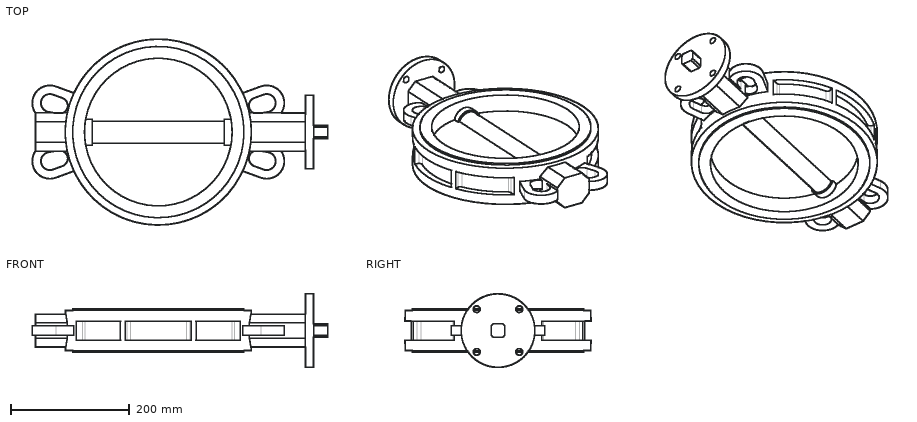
import cadquery as cq
import math


bore_radius = 125.0
ring_radius = 157.5
ring_height = 68.0
face_radius = 145.0
face_height = 74.0

pocket_height = 32.0
pocket_floor_radius = 146.0
pocket_corner_radius = 5.0
rib_width = 9.0
rib_angle = 22.5
solid_side_width = 149.0

neck_width = 65.0
neck_height = 56.0
neck_chamfer = 15.0
neck_start_x = -208.0
neck_root_x = 130.0

flange_radius = 62.5
flange_thickness = 14.0
flange_start_x = 249.0
flange_end_x = flange_start_x + flange_thickness
flange_hole_diameter = 11.0
flange_hole_circle = 102.0

lug_thickness = 16.5
lug_angle = 15.0
lug_wall = 15.0
slot_outer_radius = 15.0
slot_outer_distance = 190.0
slot_inner_radius = 13.5
slot_inner_distance = 173.0
slot_taper = math.asin(
    (slot_outer_radius - slot_inner_radius) / (slot_outer_distance - slot_inner_distance)
)

disc_thickness = 14.0
tube_radius = 20.0
hub_radius = 23.0
hub_length = 13.0
stem_width = 22.5
stem_chamfer = 3.0
stem_end_x = 287.0


def x_cylinder(radius, start_x, end_x):
    return cq.Workplane("YZ").workplane(offset=start_x).circle(radius).extrude(end_x - start_x)


def x_chamfered_bar(width, height, chamfer, start_x, end_x):
    bar = cq.Workplane("YZ").workplane(offset=start_x).rect(width, height).extrude(end_x - start_x)
    return bar.edges("|X").chamfer(chamfer)


def z_cylinder(radius, height):
    return cq.Workplane("XY").circle(radius).extrude(height / 2, both=True)


def tapered_slot(outer_radius, outer_distance, inner_radius, inner_distance, height):
    """Two round ends joined by tangent lines, lying along +X."""
    taper_sin = math.sin(slot_taper)
    taper_cos = math.cos(slot_taper)
    outer_x = outer_distance - outer_radius * taper_sin
    outer_y = outer_radius * taper_cos
    inner_x = inner_distance - inner_radius * taper_sin
    inner_y = inner_radius * taper_cos
    return (
        cq.Workplane("XY")
        .moveTo(inner_x, inner_y)
        .lineTo(outer_x, outer_y)
        .threePointArc((outer_distance + outer_radius, 0), (outer_x, -outer_y))
        .lineTo(inner_x, -inner_y)
        .threePointArc((inner_distance - inner_radius, 0), (inner_x, inner_y))
        .close()
        .extrude(height / 2, both=True)
    )


def place_at_lugs(shape):
    """Copies of a shape at the four lug directions."""
    angles = (lug_angle, -lug_angle, 180 - lug_angle, 180 + lug_angle)
    return [shape.rotate((0, 0, 0), (0, 0, 1), angle) for angle in angles]


def make_pockets():
    """Pockets between the ribs, with rounded corners where each wall meets the floor."""
    pockets = z_cylinder(ring_radius, pocket_height).cut(z_cylinder(pocket_floor_radius, pocket_height))
    rib = cq.Workplane("XY").box(rib_width, 2 * ring_radius, pocket_height)
    for angle in (rib_angle, -rib_angle):
        pockets = pockets.cut(rib.rotate((0, 0, 0), (0, 0, 1), angle))
    pockets = pockets.cut(cq.Workplane("XY").box(2 * ring_radius, solid_side_width, pocket_height))
    middle_radius = (pocket_floor_radius + ring_radius) / 2
    floor_corners = pockets.edges("|Z").filter(
        lambda edge: math.hypot(edge.Center().x, edge.Center().y) < middle_radius
    )
    return floor_corners.fillet(pocket_corner_radius)


def make_flange():
    flange = x_cylinder(flange_radius, flange_start_x, flange_end_x)
    holes = (
        cq.Workplane("YZ")
        .workplane(offset=flange_start_x)
        .polarArray(flange_hole_circle / 2, 45, 360, 4)
        .circle(flange_hole_diameter / 2)
        .extrude(flange_thickness)
    )
    return flange.cut(holes)


def make_lug():
    """Lug blank, offset outwards from its slot and carried along the same taper into the ring."""
    outer_radius = slot_outer_radius + lug_wall
    root_distance = bore_radius + lug_wall
    root_radius = outer_radius - (slot_outer_distance - root_distance) * math.sin(slot_taper)
    return tapered_slot(outer_radius, slot_outer_distance, root_radius, root_distance, lug_thickness)


def make_lug_slot():
    return tapered_slot(
        slot_outer_radius, slot_outer_distance, slot_inner_radius, slot_inner_distance, lug_thickness
    )


def make_tube():
    """Shaft tube across the bore, with a larger hub where each end meets the bore wall."""
    tube = x_cylinder(tube_radius, -bore_radius, bore_radius)
    for start_x in (-bore_radius, bore_radius - hub_length):
        tube = tube.union(x_cylinder(hub_radius, start_x, start_x + hub_length))
    return tube.intersect(z_cylinder(bore_radius, face_height))


def make_disc():
    return z_cylinder(bore_radius, disc_thickness)


def make_housing():
    """Ring, lugs, neck, flange, stem and tube; the tube is slotted where the disc passes through it."""
    housing = z_cylinder(ring_radius, ring_height).union(z_cylinder(face_radius, face_height))
    housing = housing.cut(make_pockets())
    for lug in place_at_lugs(make_lug()):
        housing = housing.union(lug)
    for slot in place_at_lugs(make_lug_slot()):
        housing = housing.cut(slot)
    for start_x, end_x in ((neck_start_x, -neck_root_x), (neck_root_x, flange_start_x)):
        housing = housing.union(x_chamfered_bar(neck_width, neck_height, neck_chamfer, start_x, end_x))
    housing = housing.union(make_flange())
    housing = housing.union(x_chamfered_bar(stem_width, stem_width, stem_chamfer, flange_end_x, stem_end_x))
    housing = housing.cut(z_cylinder(bore_radius, face_height))
    return housing.union(make_tube()).cut(make_disc())


housing = make_housing()
disc = make_disc()

result = cq.Compound.makeCompound([housing.val(), disc.val()])